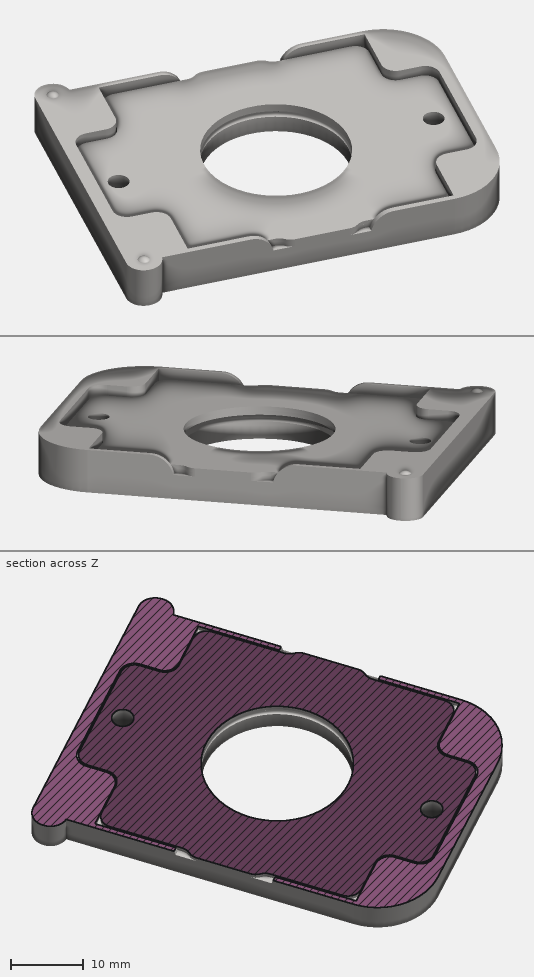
import cadquery as cq
import math

total_length = 56.45
total_height = 6.45
frame_height = 6.1
frame_half_width = 20.15
frame_corner_radius = 9.0
ear_half_span = 22.3
ear_length = 5.1
ear_corner_radius = 2.5
button_x = 19.8
button_y = ear_length / 2
button_sphere_radius = 1.25

pocket_centre_y = 28.3
pocket_depth = 2.65
pocket_half_width = 19.35
pocket_half_length = 19.25
pocket_tab_half_width = 10.0
pocket_tab_half_length = 26.3
pocket_corner_radius = 2.1
pocket_floor = frame_height - pocket_depth

notch_top_half_length = 10.4
notch_radius = 3.4

plate_count = 2
plate_stack_height = 1.2
plate_thickness = plate_stack_height / plate_count
plate_clearance = 0.15
shoulder_clearance = 0.05
plate_corner_radius = 2.05
side_tab_half_length = 3.95
side_tab_curve_radius = 2.0

window_diameter = 20.9
counterbore_diameter = 23.4
counterbore_depth = 0.95
screw_hole_diameter = 3.0
screw_hole_offset = 22.8


def slab(outline, bottom, height):
    """Extrude an outline drawn about the pocket centre."""
    return outline.extrude(height).translate((0, pocket_centre_y, bottom))


def cross(clearance, shoulder_gap, bottom, height):
    """The pocket's cross, shrunk by the two clearances, before its corners are rounded."""
    main = cq.Workplane("XY").rect(
        2 * (pocket_half_width - clearance), 2 * (pocket_half_length - shoulder_gap)
    )
    tabs = cq.Workplane("XY").rect(
        2 * (pocket_tab_half_width - clearance), 2 * (pocket_tab_half_length - clearance)
    )
    return slab(main, bottom, height).union(slab(tabs, bottom, height))


def centre_line_holes(bottom, height):
    """Cutters for the round window and the two screw holes."""
    window = cq.Workplane("XY").circle(window_diameter / 2)
    screw_holes = cq.Workplane("XY").pushPoints([(0, -screw_hole_offset), (0, screw_hole_offset)])
    screw_holes = screw_holes.circle(screw_hole_diameter / 2)
    return slab(window, bottom, height).union(slab(screw_holes, bottom, height))


def make_frame_blank():
    """Rounded body with a hinge ear and a domed button at each end corner."""
    blank = (
        cq.Workplane("XY")
        .rect(2 * frame_half_width, total_length - ear_length / 2)
        .extrude(frame_height)
        .translate((0, total_length / 2 + ear_length / 4, 0))
        .edges("|Z and >Y")
        .fillet(frame_corner_radius)
    )
    hinge_bar = cq.Workplane("XY").rect(2 * ear_half_span, ear_length).extrude(frame_height)
    hinge_bar = hinge_bar.edges("|Z").fillet(ear_corner_radius).translate((0, ear_length / 2, 0))
    blank = blank.union(hinge_bar)

    button_centre_z = total_height - button_sphere_radius
    for x in (-button_x, button_x):
        button = cq.Workplane("XY").sphere(button_sphere_radius).translate((x, button_y, button_centre_z))
        blank = blank.union(button)
    return blank


def make_pocket():
    """Cross with every corner of its end tabs rounded and its four outermost corners left sharp."""
    pocket = cross(0, 0, pocket_floor, pocket_depth)
    reach = (pocket_tab_half_width + pocket_half_width) / 2
    tab_edges = cq.selectors.BoxSelector(
        (-reach, 0, 0),
        (reach, total_length, total_height),
    )
    return pocket.edges("|Z").edges(tab_edges).fillet(pocket_corner_radius)


def make_finger_notch():
    """Opening across both side walls, with ends that curve outwards to the frame's top face."""
    drop_angle = math.acos(1 - pocket_depth / notch_radius)

    def end_point(side, angle):
        y = notch_top_half_length - notch_radius * math.sin(angle)
        z = frame_height - notch_radius * (1 - math.cos(angle))
        return (pocket_centre_y + side * y, z)

    return (
        cq.Workplane("YZ")
        .moveTo(*end_point(-1, 0))
        .threePointArc(end_point(-1, drop_angle / 2), end_point(-1, drop_angle))
        .lineTo(*end_point(1, drop_angle))
        .threePointArc(end_point(1, drop_angle / 2), end_point(1, 0))
        .close()
        .extrude(frame_half_width, both=True)
    )


def make_frame():
    counterbore = cq.Workplane("XY").circle(counterbore_diameter / 2)
    return (
        make_frame_blank()
        .cut(make_pocket())
        .cut(make_finger_notch())
        .cut(slab(counterbore, pocket_floor - counterbore_depth, counterbore_depth))
        .cut(centre_line_holes(0, pocket_floor))
    )


def make_side_tabs(bottom):
    """Band across the plate whose ends reach the frame's sides and flare in S-curves to its edges."""
    root_x = pocket_half_width - plate_clearance
    middle_x = (root_x + frame_half_width) / 2
    turn = math.acos(1 - (middle_x - root_x) / side_tab_curve_radius)
    half_curve = side_tab_curve_radius * math.sin(turn)
    middle_y = side_tab_half_length + half_curve
    root_y = middle_y + half_curve
    radius = side_tab_curve_radius

    outline = (
        cq.Workplane("XY")
        .moveTo(root_x, -root_y)
        .radiusArc((middle_x, -middle_y), radius)
        .radiusArc((frame_half_width, -side_tab_half_length), -radius)
        .lineTo(frame_half_width, side_tab_half_length)
        .radiusArc((middle_x, middle_y), -radius)
        .radiusArc((root_x, root_y), radius)
        .lineTo(-root_x, root_y)
        .radiusArc((-middle_x, middle_y), radius)
        .radiusArc((-frame_half_width, side_tab_half_length), -radius)
        .lineTo(-frame_half_width, -side_tab_half_length)
        .radiusArc((-middle_x, -middle_y), -radius)
        .radiusArc((-root_x, -root_y), radius)
        .close()
    )
    return slab(outline, bottom, plate_thickness)


def make_plate(bottom):
    return (
        cross(plate_clearance, shoulder_clearance, bottom, plate_thickness)
        .edges("|Z")
        .fillet(plate_corner_radius)
        .union(make_side_tabs(bottom))
        .cut(centre_line_holes(bottom, plate_thickness))
    )


frame = make_frame()
plates = [make_plate(pocket_floor + level * plate_thickness) for level in range(plate_count)]

result = cq.Compound.makeCompound([frame.val(), *[plate.val() for plate in plates]])